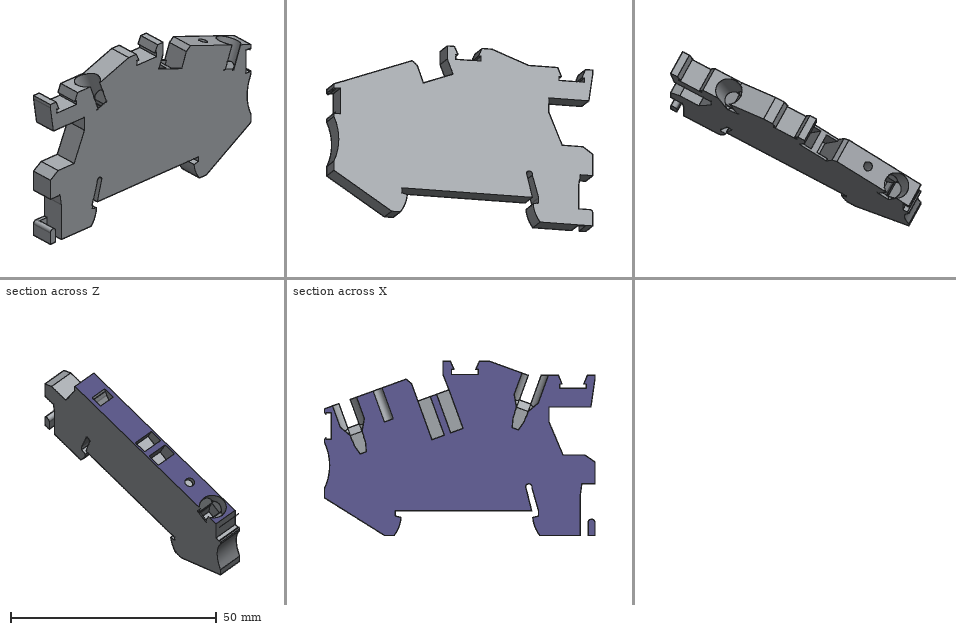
import cadquery as cq
import math


THICKNESS = 6.15
LENGTH = 65.9
HEIGHT = 42.5

TILT = 20.0
SIN_TILT = math.sin(math.radians(TILT))
COS_TILT = math.cos(math.radians(TILT))
TAN_TILT = math.tan(math.radians(TILT))

FRONT_SHOULDER_Z = 39.1
FRONT_SLOPE_START_Y = 16.37
FRONT_SLOPE_END_Y = FRONT_SLOPE_START_Y + (HEIGHT - FRONT_SHOULDER_Z) / TAN_TILT
CREST_END_Y = 37.05
CREST_END_Z = 39.2
REAR_EDGE_Z = 30.9
REAR_RIDGE_Y = 46.0
REAR_RIDGE_Z = REAR_EDGE_Z + (LENGTH - REAR_RIDGE_Y) * TAN_TILT
REAR_BEVEL_Y = 44.65
REAR_BEVEL_Z = 37.0

NOTCH_REAR_Z = 32.8
NOTCH_REAR_Y = REAR_BEVEL_Y - (REAR_BEVEL_Z - NOTCH_REAR_Z) * TAN_TILT
NOTCH_LENGTH = 8.0
NOTCH_FRONT_Y = NOTCH_REAR_Y - NOTCH_LENGTH * COS_TILT
NOTCH_FRONT_Z = NOTCH_REAR_Z + NOTCH_LENGTH * SIN_TILT

REAR_CURVE_TOP_Z = 22.7
REAR_CURVE_BOTTOM_Z = 11.5
REAR_CURVE_DEPTH = 1.25
REAR_CORNER_Z = 9.2
REAR_FOOT_Y = 51.2

RAIL_CENTRE_Y = 31.2
RAIL_SEAT_Z = 6.05
SEAT_HALF_LENGTH = 17.4
HOOK_ROOT_Z = 4.8
HOOK_TIP_HALF = 16.0
HOOK_TIP_Z = 4.45
HOOK_BULGE_HALF = 16.55
HOOK_BULGE_Z = 2.1
HOOK_BASE_HALF = 17.75

SLOT_LEAN = 15.0
SLOT_WIDTH = 1.55
SLOT_TOP_Z = 12.6
SLOT_FRONT_Y = RAIL_CENTRE_Y - SEAT_HALF_LENGTH

TOE_HEIGHT = 4.05
TOE_ROUNDING = 0.85
TOE_WALL = 1.0
TOE_NECK_Y = 3.6
NECK_BEND_Z = 9.75
NECK_TOP_Y = 3.2
NOSE_BOTTOM_Z = 12.6
NOSE_BEVEL_Z = 17.95
NOSE_BEVEL_Y = 2.55
NOSE_TOP_Z = 19.7
NOSE_ROOT_Y = 7.8
BAY_REAR_Y = 11.2
BAY_BEND_Z = 27.7
BAY_TOP_Z = 31.3
ARM_BOTTOM_Y = 1.0
ARM_LIP_Z = 38.2

GROOVE_FLOOR = 6.4
GROOVE_THROAT = 5.2
GROOVE_MOUTH = 7.05
CREST_GROOVE_Y = 31.7
CREST_GROOVE_FLOOR_Z = 39.3
CREST_GROOVE_THROAT_HEIGHT = 1.2
ARM_GROOVE_Y = 5.4
ARM_GROOVE_FLOOR_Z = 35.9
ARM_GROOVE_THROAT_HEIGHT = 1.0
REAR_GROOVE_Z = 26.7
REAR_GROOVE_FLOOR_Y = 64.25
REAR_GROOVE_THROAT = 5.7
REAR_GROOVE_MOUTH = 6.5
REAR_GROOVE_THROAT_HEIGHT = 1.25

ENTRY_X = 0.33
ENTRY_RADIUS = 3.1
ENTRY_DEPTH = 8.3
FUNNEL_HALF_ANGLE = 30.0
CHANNEL_WIDTH = 3.9
CHANNEL_HEIGHT = 3.0
CHANNEL_STEP = 0.1
CHANNEL_STEP_DEPTH = 1.4
CHANNEL_TAPER_DEPTH = 2.7
CHANNEL_DEPTH = 5.0
CHANNEL_TAPER = 15.0
FRONT_ENTRY_Y = 14.87
REAR_ENTRY_Y = 61.0

PROBE_Y = 52.95
PROBE_DIAMETER = 2.2
PROBE_DEPTH = 8.0

POCKET_WIDTH = 5.0
POCKET_LENGTH = 3.15
POCKET_DEPTH = 10.0

CLEARANCE = 2.0


def plate(sketch):
    """Extrude a closed YZ outline over the full thickness, centred on X = 0."""
    return sketch.close().extrude(THICKNESS / 2, both=True)


def make_body():
    """Full-thickness plate with the side outline of the housing."""
    slot_run = math.tan(math.radians(SLOT_LEAN))
    slot_half_span = SLOT_WIDTH / 2 / math.cos(math.radians(SLOT_LEAN))
    slot_centre_z = SLOT_TOP_Z - SLOT_WIDTH / 2
    slot_centre_y = SLOT_FRONT_Y + slot_half_span + (slot_centre_z - RAIL_SEAT_Z) * slot_run
    end_dy = SLOT_WIDTH / 2 * math.cos(math.radians(SLOT_LEAN))
    end_dz = SLOT_WIDTH / 2 * math.sin(math.radians(SLOT_LEAN))
    rear_curve_mid_z = (REAR_CURVE_TOP_Z + REAR_CURVE_BOTTOM_Z) / 2

    outline = (
        cq.Workplane("YZ")
        .moveTo(0, 0)
        .lineTo(0, TOE_HEIGHT - TOE_ROUNDING)
        .radiusArc((TOE_ROUNDING, TOE_HEIGHT), TOE_ROUNDING)
        .lineTo(TOE_NECK_Y, TOE_HEIGHT)
        .lineTo(TOE_NECK_Y, NECK_BEND_Z)
        .lineTo(NECK_TOP_Y, NOSE_BOTTOM_Z)
        .lineTo(0, NOSE_BOTTOM_Z)
        .lineTo(0, NOSE_BEVEL_Z)
        .lineTo(NOSE_BEVEL_Y, NOSE_TOP_Z)
        .lineTo(NOSE_ROOT_Y, NOSE_TOP_Z)
        .lineTo(BAY_REAR_Y, BAY_BEND_Z)
        .lineTo(BAY_REAR_Y, BAY_TOP_Z)
        .lineTo(ARM_BOTTOM_Y, BAY_TOP_Z)
        .lineTo(0, ARM_LIP_Z)
        .lineTo(0, FRONT_SHOULDER_Z)
        .lineTo(FRONT_SLOPE_START_Y, FRONT_SHOULDER_Z)
        .lineTo(FRONT_SLOPE_END_Y, HEIGHT)
        .lineTo(CREST_END_Y, HEIGHT)
        .lineTo(CREST_END_Y, CREST_END_Z)
        .lineTo(NOTCH_FRONT_Y, NOTCH_FRONT_Z)
        .lineTo(NOTCH_REAR_Y, NOTCH_REAR_Z)
        .lineTo(REAR_BEVEL_Y, REAR_BEVEL_Z)
        .lineTo(REAR_RIDGE_Y, REAR_RIDGE_Z)
        .lineTo(LENGTH, REAR_EDGE_Z)
        .lineTo(LENGTH, REAR_CURVE_TOP_Z)
        .threePointArc((LENGTH - REAR_CURVE_DEPTH, rear_curve_mid_z), (LENGTH, REAR_CURVE_BOTTOM_Z))
        .lineTo(LENGTH, REAR_CORNER_Z)
        .lineTo(REAR_FOOT_Y, 0)
        .lineTo(RAIL_CENTRE_Y + HOOK_BASE_HALF, 0)
        .threePointArc(
            (RAIL_CENTRE_Y + HOOK_BULGE_HALF, HOOK_BULGE_Z),
            (RAIL_CENTRE_Y + HOOK_TIP_HALF, HOOK_TIP_Z),
        )
        .lineTo(RAIL_CENTRE_Y + SEAT_HALF_LENGTH, HOOK_ROOT_Z)
        .lineTo(RAIL_CENTRE_Y + SEAT_HALF_LENGTH, RAIL_SEAT_Z)
        .lineTo(SLOT_FRONT_Y + 2 * slot_half_span, RAIL_SEAT_Z)
        .lineTo(slot_centre_y + end_dy, slot_centre_z + end_dz)
        .threePointArc(
            (slot_centre_y + end_dz, slot_centre_z + end_dy),
            (slot_centre_y - end_dy, slot_centre_z - end_dz),
        )
        .lineTo(SLOT_FRONT_Y, RAIL_SEAT_Z)
        .lineTo(SLOT_FRONT_Y, HOOK_ROOT_Z)
        .lineTo(RAIL_CENTRE_Y - HOOK_TIP_HALF, HOOK_TIP_Z)
        .threePointArc(
            (RAIL_CENTRE_Y - HOOK_BULGE_HALF, HOOK_BULGE_Z),
            (RAIL_CENTRE_Y - HOOK_BASE_HALF, 0),
        )
    )
    return plate(outline)


def release_slot():
    """Slot down through the toe behind its fully rounded lip, open towards +X."""
    lip_rear_y = 2 * TOE_ROUNDING
    profile = (
        cq.Workplane("YZ")
        .moveTo(lip_rear_y, 0)
        .lineTo(lip_rear_y, TOE_HEIGHT - TOE_ROUNDING)
        .radiusArc((TOE_ROUNDING, TOE_HEIGHT), -TOE_ROUNDING)
        .lineTo(TOE_NECK_Y, TOE_HEIGHT)
        .lineTo(TOE_NECK_Y, 0)
    )
    return plate(profile).translate((TOE_WALL, 0, 0))


def marker_groove(throat_height, mouth_height, throat=GROOVE_THROAT, mouth=GROOVE_MOUTH):
    """Undercut groove opening towards +Z, with the middle of its floor at the origin."""
    floor_half = GROOVE_FLOOR / 2
    throat_half = throat / 2
    mouth_half = mouth / 2
    profile = cq.Workplane("YZ").polyline(
        [
            (-floor_half, 0),
            (floor_half, 0),
            (floor_half, throat_height),
            (throat_half, throat_height),
            (mouth_half, mouth_height),
            (-mouth_half, mouth_height),
            (-throat_half, throat_height),
            (-floor_half, throat_height),
        ]
    )
    return plate(profile)


def crest_groove():
    groove = marker_groove(CREST_GROOVE_THROAT_HEIGHT, HEIGHT - CREST_GROOVE_FLOOR_Z)
    return groove.translate((0, CREST_GROOVE_Y, CREST_GROOVE_FLOOR_Z))


def arm_groove():
    groove = marker_groove(ARM_GROOVE_THROAT_HEIGHT, FRONT_SHOULDER_Z - ARM_GROOVE_FLOOR_Z)
    return groove.translate((0, ARM_GROOVE_Y, ARM_GROOVE_FLOOR_Z))


def rear_groove():
    groove = marker_groove(
        REAR_GROOVE_THROAT_HEIGHT,
        LENGTH - REAR_GROOVE_FLOOR_Y,
        REAR_GROOVE_THROAT,
        REAR_GROOVE_MOUTH,
    )
    facing_rear = groove.rotate((0, 0, 0), (1, 0, 0), -90)
    return facing_rear.translate((0, REAR_GROOVE_FLOOR_Y, REAR_GROOVE_Z))


def front_slope_plane(y):
    """Plane on the front slope (or its extension) at the given Y, normal pointing out of the part."""
    z = FRONT_SHOULDER_Z + (y - FRONT_SLOPE_START_Y) * TAN_TILT
    return cq.Plane(origin=(0, y, z), xDir=(1, 0, 0), normal=(0, -SIN_TILT, COS_TILT))


def rear_slope_plane(y):
    """Plane on the rear slope at the given Y, normal pointing out of the part."""
    z = REAR_EDGE_Z + (LENGTH - y) * TAN_TILT
    return cq.Plane(origin=(0, y, z), xDir=(1, 0, 0), normal=(0, SIN_TILT, COS_TILT))


def wire_channel(plane):
    """Rectangular channel sunk below the plane: straight, stepped in slightly, then tapering."""
    mouth_half = CHANNEL_HEIGHT / 2
    throat_half = mouth_half - CHANNEL_STEP
    taper_length = CHANNEL_DEPTH - CHANNEL_TAPER_DEPTH
    end_half = throat_half - taper_length * math.tan(math.radians(CHANNEL_TAPER))
    one_side = [
        (mouth_half, 0),
        (mouth_half, -CHANNEL_STEP_DEPTH),
        (throat_half, -CHANNEL_STEP_DEPTH),
        (throat_half, -CHANNEL_TAPER_DEPTH),
        (end_half, -CHANNEL_DEPTH),
    ]
    other_side = [(-across, along) for across, along in reversed(one_side)]
    side_plane = cq.Plane(origin=plane.origin, xDir=plane.yDir, normal=plane.xDir)
    profile = cq.Workplane(side_plane).polyline(one_side + other_side).close()
    return profile.extrude(CHANNEL_WIDTH / 2, both=True)


def wire_entry(plane):
    """Cutter for a wire entry sunk square to a slope plane."""
    height = ENTRY_DEPTH + CLEARANCE
    bottom = cq.Workplane(plane).workplane(offset=-ENTRY_DEPTH)
    bore = bottom.center(ENTRY_X, 0).circle(ENTRY_RADIUS).extrude(height)
    funnel = bottom.rect(CHANNEL_WIDTH, CHANNEL_HEIGHT).extrude(height, taper=-FUNNEL_HALF_ANGLE)
    return bore.intersect(funnel).union(wire_channel(bottom.plane))


def probe_hole():
    mouth = cq.Workplane(rear_slope_plane(PROBE_Y)).workplane(offset=CLEARANCE)
    return mouth.circle(PROBE_DIAMETER / 2).extrude(-PROBE_DEPTH - CLEARANCE)


def bridge_pockets():
    """Two pockets sunk square to the notch floor, one against each end of it."""
    floor = cq.Plane(
        origin=(0, NOTCH_REAR_Y, NOTCH_REAR_Z),
        xDir=(1, 0, 0),
        normal=(0, SIN_TILT, COS_TILT),
    )
    first = -POCKET_LENGTH / 2
    second = -NOTCH_LENGTH + POCKET_LENGTH / 2
    return (
        cq.Workplane(floor)
        .pushPoints([(0, first), (0, second)])
        .rect(POCKET_WIDTH, POCKET_LENGTH)
        .extrude(-POCKET_DEPTH)
    )


result = (
    make_body()
    .cut(release_slot())
    .cut(crest_groove())
    .cut(arm_groove())
    .cut(rear_groove())
    .cut(wire_entry(front_slope_plane(FRONT_ENTRY_Y)))
    .cut(wire_entry(rear_slope_plane(REAR_ENTRY_Y)))
    .cut(probe_hole())
    .cut(bridge_pockets())
)